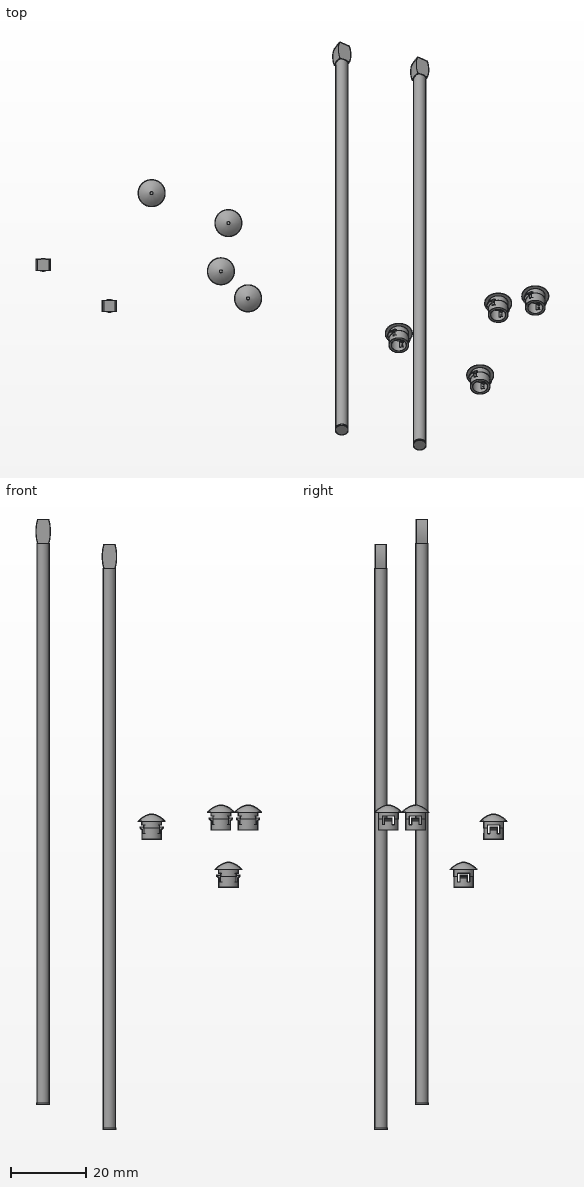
import cadquery as cq

WAND_LENGTH = 155.5
ROD_DIAMETER = 3.33
TIP_DIAMETER = 3.43
TIP_HEIGHT = 0.5
GRIP_HEIGHT = 6.5
GRIP_END_WIDTH = 3.0
GRIP_MIDDLE_WIDTH = 3.9
GRIP_THICKNESS = 3.0

PLUG_HEIGHT = 6.7
FLANGE_DIAMETER = 7.2
FLANGE_BOTTOM = 4.75
DOME_FLAT_DIAMETER = 0.8
DOME_SHOULDER_RADIUS = 2.15
DOME_SHOULDER_HEIGHT = 6.0
UPPER_STEM_DIAMETER = 5.28
LOWER_STEM_DIAMETER = 5.23
STEM_STEP_HEIGHT = 2.95
BORE_DIAMETER = 4.0
BORE_DEPTH = 4.1

WINDOW_WIDTH = 3.2
WINDOW_BOTTOM = 1.5
WINDOW_TOP = 3.75
TONGUE_WIDTH = 2.0
BARB_RADIUS = 3.1
BARB_START = 2.5
BARB_TOP = 3.3

WAND_PLACES = [
    (0, 0, 0),
    (17.6, -10.9, -6.64),
]
PLUG_PLACES = [
    (28.8, 19.05, 70.5),
    (47.2, -1.7, 72.9),
    (49.2, 11.1, 57.7),
    (54.41, -8.9, 72.9),
]


def make_wand():
    tip = cq.Workplane("XY").circle(TIP_DIAMETER / 2).extrude(TIP_HEIGHT)
    rod_top = WAND_LENGTH - GRIP_HEIGHT
    rod = (
        cq.Workplane("XY", origin=(0, 0, TIP_HEIGHT))
        .circle(ROD_DIAMETER / 2)
        .extrude(rod_top - TIP_HEIGHT)
    )
    grip_middle = rod_top + GRIP_HEIGHT / 2
    end = GRIP_END_WIDTH / 2
    middle = GRIP_MIDDLE_WIDTH / 2
    grip = (
        cq.Workplane("XZ")
        .moveTo(-end, rod_top)
        .lineTo(end, rod_top)
        .threePointArc((middle, grip_middle), (end, WAND_LENGTH))
        .lineTo(-end, WAND_LENGTH)
        .threePointArc((-middle, grip_middle), (-end, rod_top))
        .close()
        .extrude(GRIP_THICKNESS / 2, both=True)
    )
    return tip.union(rod).union(grip)


def revolve_about_z(outline):
    return outline.close().revolve(360, (0, 0, 0), (0, 1, 0))


def make_shell():
    """Domed cap and hollow stem, turned about Z."""
    flange = FLANGE_DIAMETER / 2
    upper = UPPER_STEM_DIAMETER / 2
    lower = LOWER_STEM_DIAMETER / 2
    bore = BORE_DIAMETER / 2
    return revolve_about_z(
        cq.Workplane("XZ")
        .moveTo(bore, 0)
        .lineTo(lower, 0)
        .lineTo(lower, STEM_STEP_HEIGHT)
        .lineTo(upper, STEM_STEP_HEIGHT)
        .lineTo(upper, FLANGE_BOTTOM)
        .lineTo(flange, FLANGE_BOTTOM)
        .threePointArc((DOME_SHOULDER_RADIUS, DOME_SHOULDER_HEIGHT), (DOME_FLAT_DIAMETER / 2, PLUG_HEIGHT))
        .lineTo(0, PLUG_HEIGHT)
        .lineTo(0, BORE_DEPTH)
        .lineTo(bore, BORE_DEPTH)
    )


def make_windows():
    """One block across X that opens both windows; the flange diameter is long enough to pass the stem."""
    return (
        cq.Workplane("XY", origin=(0, 0, WINDOW_BOTTOM))
        .rect(FLANGE_DIAMETER, WINDOW_WIDTH)
        .extrude(WINDOW_TOP - WINDOW_BOTTOM)
    )


def make_tongues():
    """Barbed ring, cut down to the two strips that stand in the windows."""
    lower = LOWER_STEM_DIAMETER / 2
    bore = BORE_DIAMETER / 2
    ring = revolve_about_z(
        cq.Workplane("XZ")
        .moveTo(bore, WINDOW_BOTTOM)
        .lineTo(lower, WINDOW_BOTTOM)
        .lineTo(lower, BARB_START)
        .lineTo(BARB_RADIUS, STEM_STEP_HEIGHT)
        .lineTo(BARB_RADIUS, BARB_TOP)
        .lineTo(bore, BARB_TOP)
    )
    strip = cq.Workplane("XY").rect(FLANGE_DIAMETER, TONGUE_WIDTH).extrude(PLUG_HEIGHT)
    return ring.intersect(strip)


def make_plug():
    return make_shell().cut(make_windows()).union(make_tongues())


wand = make_wand()
wands = [wand.translate(place) for place in WAND_PLACES]

plug = make_plug()
plugs = [plug.translate(place) for place in PLUG_PLACES]

result = cq.Compound.makeCompound([body.val() for body in wands + plugs])